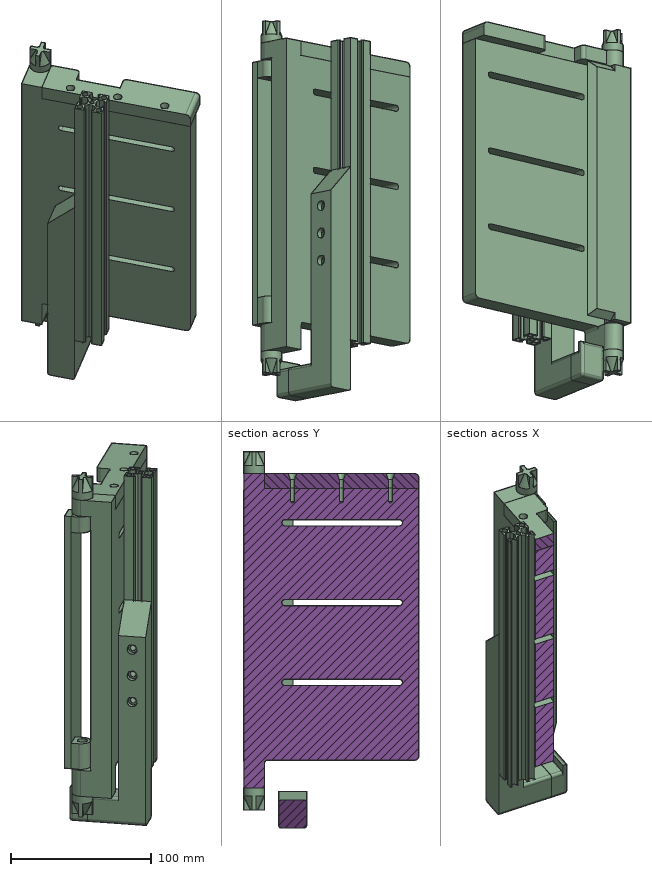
import cadquery as cq
import math


pick_margin = 0.3

knuckle_width = 15.0
knuckle_radius = knuckle_width / 2
shank_diameter = 7.0

profile_side = 20.0
profile_length = 220.0
profile_x = 45.0
profile_bottom = 37.0
slot_lip = 1.5
slot_mouth_half = 2.1
slot_mouth_flare = 0.8
slot_cavity_half = 3.8
slot_cavity_depth = 5.5
slot_floor_half = 1.3
core_half = 3.0
core_hole = 3.2
corner_hole = 4.0
corner_hole_inset = 3.0

frame_width = 125.0
frame_front = profile_side
frame_thickness = 15.0
frame_back = frame_front + frame_thickness
frame_top = 253.0
column_bottom = 28.5
plate_bottom = 48.3
plate_top = 242.5
opening_bottom = 48.0
opening_top = 240.8
outer_corner_radius = 3.5
inner_corner_radius = 2.0
guide_slot_width = 4.3
guide_slot_left = 27.5
guide_slot_right = 113.3
guide_slot_middle_z = 160.8
guide_slot_pitch = 57.0

hinge_x = knuckle_radius
hinge_y = frame_back + knuckle_radius

cap_depth = 25.0
channel_left = 36.2
channel_right = 68.7
channel_corner_radius = 2.7
screw_hole_first_x = 35.0
screw_hole_pitch = 35.0
screw_hole_y = 25.0
screw_hole_count = 3
screw_hole_diameter = 2.7
screw_hole_depth = 20.1
drill_tip_angle = 118
countersink_diameter = 6.0
countersink_angle = 40

door_width = 35.5
door_front = 49.1
door_thickness = 4.8
door_bottom = 49.0
door_top = 240.0
door_flat_width = 14.5
door_bevel_angle = 45
door_knuckle_width = 14.0
door_knuckle_front = 36.5
lower_knuckle_height = 19.3
upper_knuckle_height = 12.0

collar_height = 5.6
crown_height = 10.0
shank_length = 25.0
crown_arm_width = 3.0
crown_cone_top_radius = 3.0

hook_width = 20.1
hook_x = profile_x - hook_width
hook_depth = 55.5
arm_top = 163.2
foot_height = 20.1
lip_top = 26.3
lip_thickness = 4.0
hook_edge_radius = 2.1
bolt_hole_diameter = 4.3
bolt_counterbore_diameter = 7.0
bolt_counterbore_depth = 4.0
bolt_hole_top_z = 133.2
bolt_hole_pitch = 20.0
bolt_hole_count = 3


def box(x0, x1, y0, y1, z0, z1):
    """Box between two opposite corners."""
    return cq.Workplane("XY").box(x1 - x0, y1 - y0, z1 - z0, centered=False).translate((x0, y0, z0))


def upright_cylinder(x, y, diameter, z0, z1):
    return cq.Workplane("XY", origin=(x, y, z0)).circle(diameter / 2).extrude(z1 - z0)


def hinge_bore():
    """Hole on the hinge axis through every knuckle."""
    return upright_cylinder(hinge_x, hinge_y, shank_diameter, column_bottom, frame_top)


def screw_holes():
    """Countersunk blind holes that run down through the cap into the plate."""
    radius = screw_hole_diameter / 2
    rim = countersink_diameter / 2
    sink_depth = (rim - radius) / math.tan(math.radians(countersink_angle / 2))
    tip_depth = radius / math.tan(math.radians(drill_tip_angle / 2))
    half_section = [
        (0, 0),
        (rim, 0),
        (radius, -sink_depth),
        (radius, -screw_hole_depth),
        (0, -screw_hole_depth - tip_depth),
    ]
    hole = cq.Workplane("XZ").polyline(half_section).close().revolve(360, (0, 0), (0, 1))
    holes = cq.Workplane("XY")
    for i in range(screw_hole_count):
        x = screw_hole_first_x + i * screw_hole_pitch
        holes = holes.add(hole.translate((x, screw_hole_y, frame_top)))
    return holes.combine()


def make_frame_knuckle(z0, z1):
    """Knuckle standing off the back of the hinge column, rounded about the hinge axis."""
    web = box(0, knuckle_width, frame_front, hinge_y, z0, z1)
    return web.union(upright_cylinder(hinge_x, hinge_y, knuckle_width, z0, z1))


def make_frame():
    column = box(0, knuckle_width, frame_front, frame_back, column_bottom, frame_top)
    plate = box(0, frame_width, frame_front, frame_back, plate_bottom, plate_top)
    frame = column.union(plate)
    plate_corner = cq.selectors.BoxSelector(
        (knuckle_width - pick_margin, frame_front - pick_margin, plate_bottom - pick_margin),
        (knuckle_width + pick_margin, frame_back + pick_margin, plate_bottom + pick_margin),
    )
    frame = frame.edges("|Y").edges(plate_corner).fillet(inner_corner_radius)
    frame = frame.edges("|Y and >X").edges("<Z").fillet(outer_corner_radius)
    frame = frame.union(make_frame_knuckle(opening_top, frame_top))
    frame = frame.union(make_frame_knuckle(column_bottom, opening_bottom))
    for i in (-1, 0, 1):
        slot = (
            cq.Workplane("XZ", origin=(0, frame_back, 0))
            .center((guide_slot_left + guide_slot_right) / 2, guide_slot_middle_z + i * guide_slot_pitch)
            .slot2D(guide_slot_right - guide_slot_left, guide_slot_width)
            .extrude(frame_thickness)
        )
        frame = frame.cut(slot)
    return frame.cut(screw_holes()).cut(hinge_bore())


def make_cap():
    """Bar along the top of the plate, with a channel across its back."""
    cap_back = frame_front + cap_depth
    cap = box(knuckle_width, frame_width, frame_front, cap_back, plate_top, frame_top)
    cap = cap.edges("|Y and >X and >Z").fillet(outer_corner_radius)
    cap = cap.cut(box(channel_left, channel_right, frame_back, cap_back, plate_top, frame_top))
    channel_rims = cq.selectors.BoxSelector(
        (channel_left - pick_margin, cap_back - pick_margin, plate_top),
        (channel_right + pick_margin, cap_back + pick_margin, frame_top),
    )
    cap = cap.edges("|Z").edges(channel_rims).fillet(channel_corner_radius)
    return cap.cut(screw_holes())


def make_profile():
    """Square extrusion with a flared T slot in each side, a core hole and four corner holes."""
    half = profile_side / 2
    cavity_top = half - slot_lip
    cavity_shoulder = half - slot_cavity_depth
    right_side = [
        (slot_mouth_half + slot_mouth_flare, half),
        (slot_mouth_half, half - slot_mouth_flare),
        (slot_mouth_half, cavity_top),
        (slot_cavity_half, cavity_top),
        (slot_cavity_half, cavity_shoulder),
        (slot_floor_half, core_half),
    ]
    left_side = [(-x, y) for x, y in reversed(right_side)]
    slot = cq.Workplane("XY").polyline(right_side + left_side).close().extrude(profile_length)
    corner_spacing = profile_side - 2 * corner_hole_inset
    profile = cq.Workplane("XY").rect(profile_side, profile_side).extrude(profile_length)
    for quarter_turn in range(4):
        profile = profile.cut(slot.rotate((0, 0, 0), (0, 0, 1), 90 * quarter_turn))
    holes = (
        cq.Workplane("XY")
        .rect(corner_spacing, corner_spacing, forConstruction=True)
        .vertices()
        .circle(corner_hole / 2)
        .extrude(profile_length)
        .union(upright_cylinder(0, 0, core_hole, 0, profile_length))
    )
    return profile.cut(holes).translate((profile_x + half, half, profile_bottom))


def make_door_knuckle(z0, z1):
    """Block on the front of the door, flush with its hinge edge and with a half-round nose."""
    nose_radius = door_knuckle_width / 2
    nose_y = door_knuckle_front + nose_radius
    block = box(0, door_knuckle_width, nose_y, door_front, z0, z1)
    block = block.union(upright_cylinder(nose_radius, nose_y, door_knuckle_width, z0, z1))
    block = block.intersect(box(0, door_knuckle_width, door_knuckle_front, door_front, z0, z1))
    return block.cut(hinge_bore())


def make_door():
    """Flat hinge strip, and a leaf whose three free edges are bevelled on the back."""
    door_back = door_front + door_thickness
    strip = box(0, door_flat_width, door_front, door_back, door_bottom, door_top)
    leaf_left = door_flat_width - door_thickness * math.tan(math.radians(door_bevel_angle))
    leaf_middle = ((leaf_left + door_width) / 2, door_front, (door_bottom + door_top) / 2)
    leaf = (
        cq.Workplane("XZ", origin=leaf_middle)
        .rect(door_width - leaf_left, door_top - door_bottom)
        .extrude(-door_thickness, taper=door_bevel_angle)
    )
    return strip.union(leaf)


def make_pin():
    """Pin with its collar on Z = 0: shank below, and above it a cross with a cone between its arms."""
    head_diameter = knuckle_width
    crown_top = collar_height + crown_height
    shank = upright_cylinder(0, 0, shank_diameter, -shank_length, 0)
    collar = upright_cylinder(0, 0, head_diameter, 0, collar_height)
    crown_arm = box(
        -knuckle_radius,
        knuckle_radius,
        -crown_arm_width / 2,
        crown_arm_width / 2,
        collar_height,
        crown_top,
    )
    cross = crown_arm.union(crown_arm.rotate((0, 0, 0), (0, 0, 1), 90))
    cross = cross.intersect(upright_cylinder(0, 0, head_diameter, collar_height, crown_top))
    cone = cq.Workplane(
        cq.Solid.makeCone(
            knuckle_radius, crown_cone_top_radius, crown_height, pnt=cq.Vector(0, 0, collar_height)
        )
    )
    return shank.union(collar).union(cross).union(cone)


def make_hook():
    """Arm, foot and lip as one shape, before the jaw is parted off."""
    side = [
        (0, 0),
        (hook_depth, 0),
        (hook_depth, lip_top),
        (hook_depth - lip_thickness, lip_top),
        (hook_depth - lip_thickness, foot_height),
        (profile_side, foot_height),
        (profile_side, arm_top),
        (0, arm_top),
    ]
    hook = cq.Workplane("YZ", origin=(hook_x, 0, 0)).polyline(side).close().extrude(hook_width)
    hook = hook.faces("<Z").edges("|Y").fillet(hook_edge_radius)
    hook = hook.faces(">Y").edges().fillet(hook_edge_radius)
    foot_rims = cq.selectors.BoxSelector(
        (hook_x - pick_margin, profile_side, foot_height - pick_margin),
        (profile_x + pick_margin, hook_depth, foot_height + pick_margin),
    )
    hook = hook.edges("|Y").edges(foot_rims).fillet(hook_edge_radius)
    bevel = (
        cq.Workplane("XZ", origin=(0, profile_side, 0))
        .polyline([(hook_x, arm_top - hook_width), (hook_x, arm_top), (profile_x, arm_top)])
        .close()
        .extrude(profile_side)
    )
    hook = hook.cut(bevel)
    for i in range(bolt_hole_count):
        wall = cq.Workplane("YZ", origin=(hook_x, profile_side / 2, bolt_hole_top_z - i * bolt_hole_pitch))
        hook = hook.cut(wall.circle(bolt_hole_diameter / 2).extrude(hook_width))
        hook = hook.cut(wall.circle(bolt_counterbore_diameter / 2).extrude(bolt_counterbore_depth))
    return hook


frame = make_frame()
cap = make_cap()
profile = make_profile()
door = make_door()
door_knuckles = [
    make_door_knuckle(door_bottom, door_bottom + lower_knuckle_height),
    make_door_knuckle(door_top - upper_knuckle_height, door_top),
]

pins = []
for end_height, flip in ((frame_top, 0), (column_bottom, 180)):
    pin = make_pin().rotate((0, 0, 0), (1, 0, 0), flip)
    pins.append(pin.translate((hinge_x, hinge_y, end_height)))

hook = make_hook()
jaw_space = box(hook_x, profile_x, hinge_y, hook_depth, 0, lip_top)
arm = hook.cut(jaw_space)
jaw = hook.intersect(jaw_space)

result = cq.Compound.makeCompound([
    frame.val(),
    cap.val(),
    profile.val(),
    door.val(),
    *[knuckle.val() for knuckle in door_knuckles],
    *[pin.val() for pin in pins],
    arm.val(),
    jaw.val(),
])